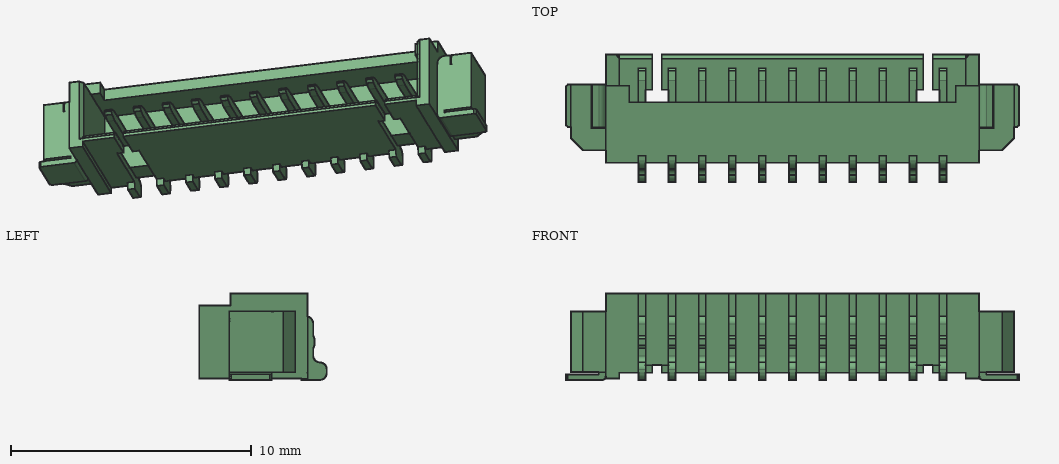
import cadquery as cq
import math


PIN_COUNT = 11
PITCH = 1.25
PIN_WIDTH = 0.3
SLOT_DEPTH = 0.3
FIRST_PIN_X = -PITCH * (PIN_COUNT - 1) / 2

SHOULDER_TOP = 2.66
SHOULDER_RADIUS = 0.33
PIN_FRONT = -0.24
BUMP_PROUD = 0.05
BUMP_TOP = 1.72
BUMP_BOTTOM = 1.44
BUMP_RAMP = 0.12

FOOT_FRONT = -0.8
FOOT_BACK = 0.26
FOOT_TOP = 0.74
INSTEP_RADIUS = 0.27
TOE_RADIUS = 0.3

BLADE_TIP = 3.93
BLADE_BOTTOM = 1.65
BLADE_HEIGHT = 0.4
BLADE_TAPER_LENGTH = 0.5
BLADE_TAPER = 0.08
BLADE_NOSE_CHAMFER = 0.11

BODY_HALF_X = 7.75
BODY_BACK = 4.5
BODY_TOP = 3.6
BODY_BOTTOM = 0.3
FOOT_RAIL_BOTTOM = 0.06
WALL_THICKNESS = 0.57
REAR_WALL_TOP = 3.1
ROOF_BACK = 2.52
ROOF_CORNER_BACK = 3.2
ROOF_NOTCH_HALF_X = 6.78
CAVITY_HALF_X = BODY_HALF_X - WALL_THICKNESS
CAVITY_FRONT = 1.0
CAVITY_FLOOR = 0.62
WALL_BEVEL_X = 0.15
MOUTH_BEVEL = 0.18

OPENING_X = -FIRST_PIN_X - PITCH / 2
OPENING_WIDTH = PITCH - PIN_WIDTH
OPENING_BACK = 3.03
GAP_WIDTH = 0.39

WING_HALF_X = 9.2
WING_FRONT = 0.52
WING_BACK = 3.25
WING_BOTTOM = 0.33
WING_TOP = 2.85
WING_CHAMFER = 0.5

TAB_HALF_X = 9.4
TAB_FRONT = 1.48
TAB_THICKNESS = 0.24
TAB_CORNER = 0.08
TAB_LEG_THICKNESS = 0.3
TAB_BEND_RADIUS = 0.15
TAB_HEAD_OUTER_X = 8.3
TAB_CLEARANCE = 0.05
TAB_SLOT_DEPTH = 0.4


def block(x0, x1, y0, y1, z0, z1):
    """Axis-aligned box between two opposite corners."""
    return cq.Workplane("XY").box(x1 - x0, y1 - y0, z1 - z0, centered=False).translate((x0, y0, z0))


def both_ends(half):
    """The given -X feature together with its mirror image at +X."""
    return half.union(half.mirror("YZ"))


def make_shell():
    shell = block(-BODY_HALF_X, BODY_HALF_X, 0, BODY_BACK, BODY_BOTTOM, BODY_TOP)
    rail = block(-BODY_HALF_X, -CAVITY_HALF_X, 0, BODY_BACK, FOOT_RAIL_BOTTOM, BODY_BOTTOM)
    shell = shell.union(both_ends(rail))

    shell = shell.cut(block(-BODY_HALF_X, BODY_HALF_X, ROOF_CORNER_BACK, BODY_BACK, REAR_WALL_TOP, BODY_TOP))
    shell = shell.cut(
        block(-ROOF_NOTCH_HALF_X, ROOF_NOTCH_HALF_X, ROOF_BACK, BODY_BACK, REAR_WALL_TOP, BODY_TOP)
    )
    shell = shell.cut(
        block(-CAVITY_HALF_X, CAVITY_HALF_X, CAVITY_FRONT, BODY_BACK, CAVITY_FLOOR, REAR_WALL_TOP)
    )
    return shell.cut(make_mouth_bevels())


def make_mouth_bevels():
    """Lead-in bevels on the floor and side walls at the mouth of the cavity."""
    floor_bevel = (
        cq.Workplane("YZ")
        .moveTo(BODY_BACK - MOUTH_BEVEL, CAVITY_FLOOR)
        .lineTo(BODY_BACK, CAVITY_FLOOR)
        .lineTo(BODY_BACK, CAVITY_FLOOR - MOUTH_BEVEL)
        .close()
        .extrude(CAVITY_HALF_X, both=True)
    )
    bevel_bottom = CAVITY_FLOOR - MOUTH_BEVEL
    wall_bevel = (
        cq.Workplane("XY")
        .workplane(offset=bevel_bottom)
        .moveTo(-CAVITY_HALF_X, BODY_BACK - MOUTH_BEVEL)
        .lineTo(-CAVITY_HALF_X - WALL_BEVEL_X, BODY_BACK)
        .lineTo(-CAVITY_HALF_X, BODY_BACK)
        .close()
        .extrude(REAR_WALL_TOP - bevel_bottom)
    )
    return floor_bevel.union(both_ends(wall_bevel))


def make_floor_opening():
    """Wide opening under the front and floor, continued by a narrow gap to the mouth."""
    x = -OPENING_X
    wide = block(x - OPENING_WIDTH / 2, x + OPENING_WIDTH / 2, 0, OPENING_BACK, BODY_BOTTOM, CAVITY_FLOOR)
    gap = block(x - GAP_WIDTH / 2, x + GAP_WIDTH / 2, OPENING_BACK, BODY_BACK, BODY_BOTTOM, CAVITY_FLOOR)
    return wide.union(gap)


def make_wing():
    wing = block(-WING_HALF_X, -BODY_HALF_X, WING_FRONT, WING_BACK, WING_BOTTOM, WING_TOP)
    wing = wing.edges("|Z and <X and <Y").chamfer(WING_CHAMFER)
    slot = block(
        -TAB_HEAD_OUTER_X - TAB_CLEARANCE,
        -BODY_HALF_X,
        TAB_FRONT - TAB_CLEARANCE,
        WING_BACK,
        WING_TOP - TAB_SLOT_DEPTH,
        WING_TOP,
    )
    return wing.cut(slot)


def make_tab():
    """Flat solder tab bent up into a leg, with a head that rests in the wing slot."""
    leg_outer_x = BODY_HALF_X + TAB_LEG_THICKNESS
    plate = block(-TAB_HALF_X, -BODY_HALF_X, TAB_FRONT, WING_BACK, 0, TAB_THICKNESS)
    plate = plate.edges("|Z and <X").chamfer(TAB_CORNER)
    plate = plate.edges("|Y and >X and <Z").fillet(TAB_BEND_RADIUS)
    leg = block(
        -leg_outer_x, -BODY_HALF_X, TAB_FRONT, WING_BACK, TAB_BEND_RADIUS, WING_TOP - TAB_SLOT_DEPTH
    )
    head = block(
        -TAB_HEAD_OUTER_X, -BODY_HALF_X, TAB_FRONT, WING_BACK, WING_TOP - TAB_SLOT_DEPTH, WING_TOP
    )
    head = head.edges("|Y and >X and >Z").fillet(TAB_LEG_THICKNESS)
    return plate.union(leg).union(head)


def make_front_strip():
    """Part of a pin outside the housing, from its shoulder to its soldering foot, centred on X = 0."""
    diagonal = math.sqrt(0.5)
    shoulder_y = PIN_FRONT + SHOULDER_RADIUS
    shoulder_z = SHOULDER_TOP - SHOULDER_RADIUS
    instep_y = PIN_FRONT - INSTEP_RADIUS
    instep_z = FOOT_TOP + INSTEP_RADIUS
    toe_y = FOOT_FRONT + TOE_RADIUS
    toe_z = FOOT_TOP - TOE_RADIUS
    bump_front = PIN_FRONT - BUMP_PROUD
    return (
        cq.Workplane("YZ")
        .moveTo(SLOT_DEPTH, SHOULDER_TOP)
        .lineTo(shoulder_y, SHOULDER_TOP)
        .threePointArc(
            (shoulder_y - SHOULDER_RADIUS * diagonal, shoulder_z + SHOULDER_RADIUS * diagonal),
            (PIN_FRONT, shoulder_z),
        )
        .lineTo(PIN_FRONT, BUMP_TOP + BUMP_RAMP)
        .lineTo(bump_front, BUMP_TOP)
        .lineTo(bump_front, BUMP_BOTTOM)
        .lineTo(PIN_FRONT, BUMP_BOTTOM - BUMP_RAMP)
        .lineTo(PIN_FRONT, instep_z)
        .threePointArc(
            (instep_y + INSTEP_RADIUS * diagonal, instep_z - INSTEP_RADIUS * diagonal),
            (instep_y, FOOT_TOP),
        )
        .lineTo(toe_y, FOOT_TOP)
        .threePointArc(
            (toe_y - TOE_RADIUS * diagonal, toe_z + TOE_RADIUS * diagonal),
            (FOOT_FRONT, toe_z),
        )
        .lineTo(FOOT_FRONT, TOE_RADIUS)
        .threePointArc(
            (toe_y - TOE_RADIUS * diagonal, TOE_RADIUS - TOE_RADIUS * diagonal),
            (toe_y, 0),
        )
        .lineTo(FOOT_BACK, 0)
        .lineTo(SLOT_DEPTH, BODY_BOTTOM)
        .close()
        .extrude(PIN_WIDTH / 2, both=True)
    )


def make_blade():
    """Contact blade of a pin, tapered to a chamfered nose, centred on X = 0."""
    blade_top = BLADE_BOTTOM + BLADE_HEIGHT
    taper_start = BLADE_TIP - BLADE_TAPER_LENGTH
    nose_start = BLADE_TIP - BLADE_NOSE_CHAMFER
    nose_inset = BLADE_TAPER + BLADE_NOSE_CHAMFER
    return (
        cq.Workplane("YZ")
        .moveTo(CAVITY_FRONT, BLADE_BOTTOM)
        .lineTo(taper_start, BLADE_BOTTOM)
        .lineTo(nose_start, BLADE_BOTTOM + BLADE_TAPER)
        .lineTo(BLADE_TIP, BLADE_BOTTOM + nose_inset)
        .lineTo(BLADE_TIP, blade_top - nose_inset)
        .lineTo(nose_start, blade_top - BLADE_TAPER)
        .lineTo(taper_start, blade_top)
        .lineTo(CAVITY_FRONT, blade_top)
        .close()
        .extrude(PIN_WIDTH / 2, both=True)
    )


def make_pin_slot():
    return block(-PIN_WIDTH / 2, PIN_WIDTH / 2, 0, SLOT_DEPTH, BODY_BOTTOM, BODY_TOP)


result = make_shell().cut(both_ends(make_floor_opening()))
result = result.union(both_ends(make_wing())).union(both_ends(make_tab()))

pin_slot = make_pin_slot()
pin_front_strip = make_front_strip()
pin_blade = make_blade()
for index in range(PIN_COUNT):
    position = (FIRST_PIN_X + index * PITCH, 0, 0)
    result = result.cut(pin_slot.translate(position))
    result = result.union(pin_front_strip.translate(position))
    result = result.union(pin_blade.translate(position))